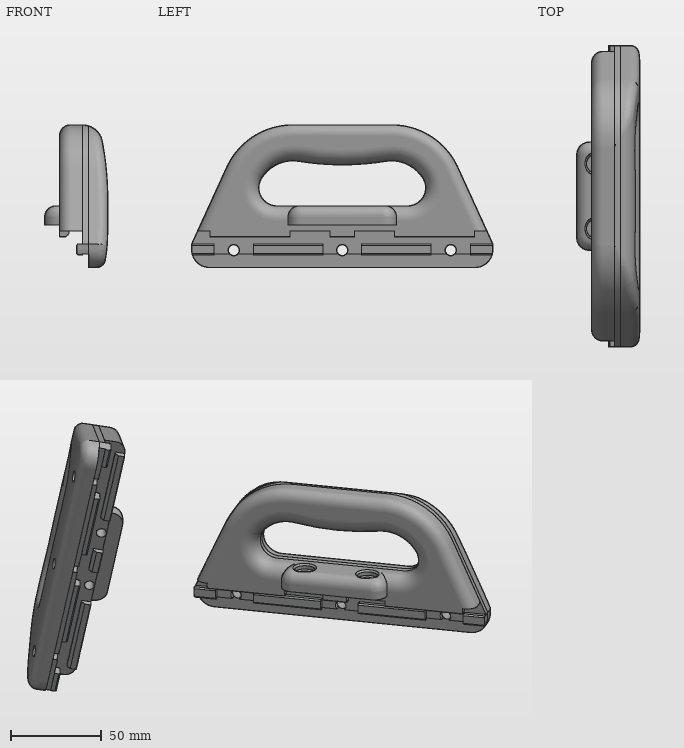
import cadquery as cq
import math


SHELL_REAR = 8.2
PLATE_REAR = 20.8
PLATE_FRONT = 24.3
COVER_FRONT = 35.0

LENGTH = 166.5
HEIGHT = 79.0
HALF_LENGTH = LENGTH / 2
TOP_HALF_WIDTH = 27.3
SIDE_LEAN = math.radians(24.5)
SIDE_BOTTOM = 13.0
BOTTOM_CORNER_RADIUS = 10.0
SHELL_BOTTOM = 20.1
PLATE_BOTTOM = 7.5
SHELL_EDGE_RADIUS = 6.2

SHOULDER_RADIUS = (
    (HALF_LENGTH - TOP_HALF_WIDTH) * math.cos(SIDE_LEAN) - (HEIGHT - SIDE_BOTTOM) * math.sin(SIDE_LEAN)
) / (1 - math.sin(SIDE_LEAN))
SHOULDER_Z = HEIGHT - SHOULDER_RADIUS

OPENING_FLOOR = 34.1
OPENING_UPPER_RADIUS = 20.3
OPENING_LOWER_RADIUS = 10.0
GRIP_RADIUS = 146.5
OPENING_EDGE_RADIUS = 8.2

NOSE_RADIUS = 11.3
FACE_TOP_Z = 37.3
FACE_BOTTOM_RADIUS = 91.5
FACE_BOTTOM_Z = 20.1
COVER_EDGE_RADIUS = 5.0

SHELF_BOTTOM = 23.5
SHELF_HALF_LENGTH = 30.0
SHELF_CORNER_RADIUS = 7.2
SHELF_EDGE_RADIUS = 6.2
SCREW_Y = 18.0
SCREW_X = 11.0
SCREW_HEAD_RADIUS = 5.5
SCREW_HEAD_DEPTH = 3.0
SCREW_RADIUS = 2.8
SCREW_RIM_CHAMFER = 1.0
SCREW_RIM_ANGLE = 45

TAB_BOTTOM = 17.0
TAB_THICKNESS = 5.3
TAB_LEAD_IN = 1.8
TAB_CHAMFER = 0.3
OUTER_TAB_Y = 51.0
OUTER_TAB_LENGTH = 44.3
MIDDLE_TAB_LENGTH = 13.7

RIB_REAR = 17.6
RIB_BOTTOM = 7.0
RIB_TOP = 13.2
RIB_CHAMFER = 0.8
INNER_RIB = (10.7, 49.1)
OUTER_RIB = (71.0, HALF_LENGTH)

HOLE_RADIUS = 3.0
HOLE_SPACING = 60.0
HOLE_Z = 9.7


def polar(center, radius, angle):
    """Point at an angle (radians) on a circle."""
    return (center[0] + radius * math.cos(angle), center[1] + radius * math.sin(angle))


def mirrored(point):
    """Same point on the other side of the Y = 0 plane."""
    return (-point[0], point[1])


def outline(x_start, x_end):
    """Full outer outline of the handle between two X positions."""
    shoulder = (TOP_HALF_WIDTH, SHOULDER_Z)
    shoulder_end = polar(shoulder, SHOULDER_RADIUS, SIDE_LEAN)
    shoulder_mid = polar(shoulder, SHOULDER_RADIUS, (SIDE_LEAN + math.pi / 2) / 2)
    corner = (HALF_LENGTH - BOTTOM_CORNER_RADIUS, BOTTOM_CORNER_RADIUS)
    corner_mid = polar(corner, BOTTOM_CORNER_RADIUS, -math.pi / 4)
    return (
        cq.Workplane("YZ", origin=(x_start, 0, 0))
        .moveTo(-TOP_HALF_WIDTH, HEIGHT)
        .lineTo(TOP_HALF_WIDTH, HEIGHT)
        .threePointArc(shoulder_mid, shoulder_end)
        .lineTo(HALF_LENGTH, SIDE_BOTTOM)
        .lineTo(HALF_LENGTH, corner[1])
        .threePointArc(corner_mid, (corner[0], 0))
        .lineTo(-corner[0], 0)
        .threePointArc(mirrored(corner_mid), (-HALF_LENGTH, corner[1]))
        .lineTo(-HALF_LENGTH, SIDE_BOTTOM)
        .lineTo(*mirrored(shoulder_end))
        .threePointArc(mirrored(shoulder_mid), (-TOP_HALF_WIDTH, HEIGHT))
        .close()
        .extrude(x_end - x_start)
    )


def opening(x_start, x_end):
    """Hand opening as a solid between two X positions."""
    upper = (TOP_HALF_WIDTH, SHOULDER_Z)
    lower_z = OPENING_FLOOR + OPENING_LOWER_RADIUS
    lower_y = TOP_HALF_WIDTH + math.sqrt(
        (OPENING_UPPER_RADIUS - OPENING_LOWER_RADIUS) ** 2 - (lower_z - SHOULDER_Z) ** 2
    )
    lower = (lower_y, lower_z)
    blend_angle = math.atan2(lower_z - SHOULDER_Z, lower_y - TOP_HALF_WIDTH)
    grip_angle = math.pi / 2 + math.asin(TOP_HALF_WIDTH / (OPENING_UPPER_RADIUS + GRIP_RADIUS))
    grip_end = polar(upper, OPENING_UPPER_RADIUS, grip_angle)
    grip_center_z = SHOULDER_Z - (OPENING_UPPER_RADIUS + GRIP_RADIUS) * math.cos(grip_angle + math.pi / 2)
    blend = polar(upper, OPENING_UPPER_RADIUS, blend_angle)
    upper_mid = polar(upper, OPENING_UPPER_RADIUS, (blend_angle + grip_angle) / 2)
    lower_mid = polar(lower, OPENING_LOWER_RADIUS, (blend_angle - math.pi / 2) / 2)
    return (
        cq.Workplane("YZ", origin=(x_start, 0, 0))
        .moveTo(-lower_y, OPENING_FLOOR)
        .lineTo(lower_y, OPENING_FLOOR)
        .threePointArc(lower_mid, blend)
        .threePointArc(upper_mid, grip_end)
        .threePointArc((0, grip_center_z - GRIP_RADIUS), mirrored(grip_end))
        .threePointArc(mirrored(upper_mid), mirrored(blend))
        .threePointArc(mirrored(lower_mid), (-lower_y, OPENING_FLOOR))
        .close()
        .extrude(x_end - x_start)
    )


def opening_box():
    """Selector for edges that lie around the opening, clear of the outer edges."""
    half_width = TOP_HALF_WIDTH + OPENING_UPPER_RADIUS
    roof = SHOULDER_Z + OPENING_UPPER_RADIUS
    return cq.selectors.BoxSelector(
        (0, -half_width, SHELF_BOTTOM), (COVER_FRONT + 1.7, half_width, roof), boundingbox=False
    )


def slab(x_start, x_end, z_start, z_end):
    """Box over the whole length of the handle."""
    return cq.Workplane("XY").box(
        x_end - x_start, 2 * LENGTH, z_end - z_start, centered=(False, True, False)
    ).translate((x_start, 0, z_start))


def face_profile():
    """Solid whose front follows the curved side profile."""
    nose = (PLATE_REAR, HEIGHT - NOSE_RADIUS)
    reach = COVER_FRONT - PLATE_REAR
    rise = nose[1] - FACE_TOP_Z
    upper_radius = (rise**2 + reach**2 - NOSE_RADIUS**2) / (2 * (reach - NOSE_RADIUS))
    upper = (COVER_FRONT - upper_radius, FACE_TOP_Z)
    nose_angle = math.asin(rise / (upper_radius - NOSE_RADIUS))
    lower = (COVER_FRONT - FACE_BOTTOM_RADIUS, FACE_BOTTOM_Z)
    bottom_angle = -math.asin(FACE_BOTTOM_Z / FACE_BOTTOM_RADIUS)
    return (
        cq.Workplane("XZ", origin=(0, HALF_LENGTH, 0))
        .moveTo(SHELL_REAR, 0)
        .lineTo(*polar(lower, FACE_BOTTOM_RADIUS, bottom_angle))
        .threePointArc(polar(lower, FACE_BOTTOM_RADIUS, bottom_angle / 2), (COVER_FRONT, FACE_BOTTOM_Z))
        .lineTo(COVER_FRONT, FACE_TOP_Z)
        .threePointArc(polar(upper, upper_radius, nose_angle / 2), polar(nose, NOSE_RADIUS, nose_angle))
        .threePointArc(polar(nose, NOSE_RADIUS, (nose_angle + math.pi / 2) / 2), (PLATE_REAR, HEIGHT))
        .lineTo(SHELL_REAR, HEIGHT)
        .close()
        .extrude(LENGTH)
    )


def front_blank():
    """Common shape of the plate and the cover, with its front edges rounded and its holes cut."""
    front_edges = "not(<X or |X or |Y)"
    blank = outline(SHELL_REAR, COVER_FRONT).intersect(face_profile())
    blank = blank.edges(front_edges).fillet(COVER_EDGE_RADIUS)
    blank = blank.cut(opening(SHELL_REAR, COVER_FRONT))
    blank = blank.edges(opening_box()).edges(front_edges).fillet(OPENING_EDGE_RADIUS)
    for y in (-HOLE_SPACING, 0, HOLE_SPACING):
        blank = blank.cut(mounting_hole(y))
    return blank


def mounting_hole(y):
    """Cylinder through the plate and the cover."""
    return (
        cq.Workplane("YZ", origin=(RIB_REAR, 0, 0))
        .center(y, HOLE_Z)
        .circle(HOLE_RADIUS)
        .extrude(COVER_FRONT - RIB_REAR)
    )


def rib(y_start, y_end):
    """Locating rib with chamfered rear edges, running into the plate."""
    return (
        cq.Workplane("XY")
        .box(PLATE_FRONT - RIB_REAR, y_end - y_start, RIB_TOP - RIB_BOTTOM, centered=False)
        .edges("<X and |Y")
        .chamfer(RIB_CHAMFER)
        .translate((RIB_REAR, y_start, RIB_BOTTOM))
    )


def make_cover():
    """Front cover with the rounded front face."""
    return front_blank().intersect(slab(PLATE_FRONT, COVER_FRONT, 0, HEIGHT))


def make_plate():
    """Middle plate with locating ribs on its rear."""
    plate = front_blank().intersect(slab(PLATE_REAR, PLATE_FRONT, PLATE_BOTTOM, HEIGHT))
    ribs_area = outline(RIB_REAR, PLATE_REAR)
    for y_start, y_end in (INNER_RIB, OUTER_RIB):
        for bar in (rib(y_start, y_end), rib(-y_end, -y_start)):
            plate = plate.union(bar.intersect(ribs_area))
    return plate


def tab(center_y, length):
    """Tab under the shell, with a lead-in chamfer in front and a small one at the rear."""
    return (
        cq.Workplane("XY")
        .box(TAB_THICKNESS, length, SHELL_BOTTOM - TAB_BOTTOM, centered=(False, True, False))
        .edges(">X and <Z")
        .chamfer(TAB_LEAD_IN)
        .edges("<X and <Z")
        .chamfer(TAB_CHAMFER)
        .translate((SHELL_REAR, center_y, TAB_BOTTOM))
    )


def shelf():
    """Finger shelf level with the opening floor, reaching into the shell."""
    depth = SHELL_REAR + OPENING_EDGE_RADIUS
    return (
        cq.Workplane("XY")
        .box(depth, 2 * SHELF_HALF_LENGTH, OPENING_FLOOR - SHELF_BOTTOM, centered=(False, True, False))
        .edges("<X and |Z")
        .fillet(SHELF_CORNER_RADIUS)
        .faces(">Z")
        .edges("not >X")
        .fillet(SHELF_EDGE_RADIUS)
        .translate((0, 0, SHELF_BOTTOM))
    )


def screw_hole(y):
    """Counterbored hole with a chamfered rim, from the opening floor down through the shell."""
    top = cq.Workplane("XY", origin=(SCREW_X, y, OPENING_FLOOR))
    shank = top.circle(SCREW_RADIUS).extrude(SHELL_BOTTOM - OPENING_FLOOR)
    head = top.circle(SCREW_HEAD_RADIUS).extrude(-SCREW_HEAD_DEPTH)
    rim = top.circle(SCREW_HEAD_RADIUS + SCREW_RIM_CHAMFER).extrude(-SCREW_RIM_CHAMFER, taper=SCREW_RIM_ANGLE)
    return shank.union(head).union(rim)


def make_shell():
    """Rear shell with the finger shelf, its screw holes and the tabs."""
    shell = outline(SHELL_REAR, PLATE_REAR).intersect(slab(SHELL_REAR, PLATE_REAR, SHELL_BOTTOM, HEIGHT))
    shell = shell.faces("<X").edges("not <Z").fillet(SHELL_EDGE_RADIUS)
    shell = shell.cut(opening(SHELL_REAR, PLATE_REAR))
    shell = shell.faces("<X").edges(opening_box()).fillet(OPENING_EDGE_RADIUS)
    shell = shell.union(shelf())
    shell = shell.union(tab(0, MIDDLE_TAB_LENGTH))
    for center_y in (-OUTER_TAB_Y, OUTER_TAB_Y):
        shell = shell.union(tab(center_y, OUTER_TAB_LENGTH))
    for y in (-SCREW_Y, SCREW_Y):
        shell = shell.cut(screw_hole(y))
    return shell


shell = make_shell()
plate = make_plate()
cover = make_cover()
result = cq.Compound.makeCompound([shell.val(), plate.val(), cover.val()])